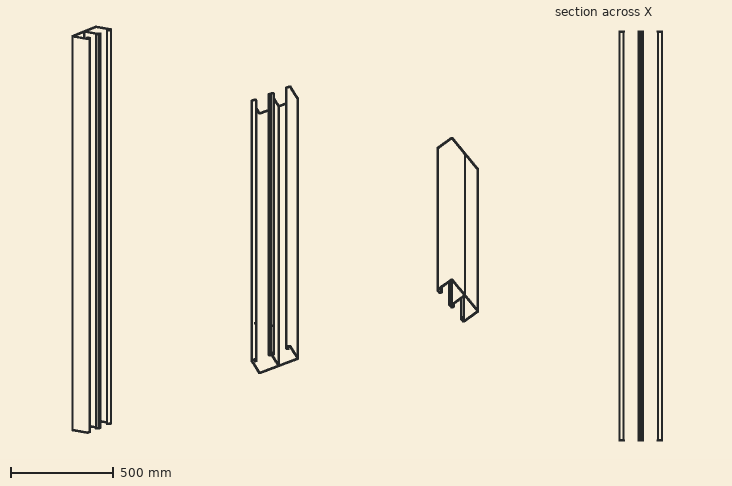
import cadquery as cq

length = 2000.0
width = 210.0
depth = 90.0

wall = 1.0
bend_radius = 3.0
root_fillet = 1.0

return_depth = 13.0
rim_lip_width = 22.0
rim_tip_width = 8.0
head_width = 25.0
head_tip_width = 5.0

back_x = -depth / 2
front_x = depth / 2
return_x = front_x - return_depth
base_z = -length / 2


def bent_strip(outer_path):
    """Full-length sheet whose outer side follows a clockwise path of right-angle bends."""
    corners = [cq.Vector(x, y) for x, y in outer_path]
    headings = [(end - start).normalized() for start, end in zip(corners, corners[1:])]
    insets = [cq.Vector(heading.y, -heading.x) * wall for heading in headings]

    outer_arcs = []
    inner_arcs = []
    for index, corner in enumerate(corners[1:-1]):
        arc_start = corner - headings[index] * bend_radius
        arc_end = corner + headings[index + 1] * bend_radius
        outer_arcs.append((arc_start, arc_end))
        inner_arcs.append((arc_start + insets[index], arc_end + insets[index + 1]))

    outline = cq.Workplane("XY", origin=(0, 0, base_z)).moveTo(corners[0].x, corners[0].y)
    for arc_start, arc_end in outer_arcs:
        outline = outline.lineTo(arc_start.x, arc_start.y)
        outline = outline.tangentArcPoint((arc_end.x, arc_end.y), relative=False)
    outline = outline.lineTo(corners[-1].x, corners[-1].y)

    inner_end = corners[-1] + insets[-1]
    outline = outline.lineTo(inner_end.x, inner_end.y)
    for arc_start, arc_end in reversed(inner_arcs):
        outline = outline.lineTo(arc_end.x, arc_end.y)
        outline = outline.tangentArcPoint((arc_start.x, arc_start.y), relative=False)
    inner_start = corners[0] + insets[0]
    outline = outline.lineTo(inner_start.x, inner_start.y)
    return outline.close().extrude(length)


def mirrored_in_y(half_path):
    """Continue a path that stops short of the XZ plane with its mirror image."""
    return half_path + [(x, -y) for x, y in reversed(half_path)]


def make_channel():
    """Wide channel open toward +X, its two flanges ending in hooked lips."""
    rim_y = width / 2
    lip_y = rim_y - rim_lip_width
    lower_half = [
        (return_x, -lip_y - rim_tip_width),
        (return_x, -lip_y),
        (front_x, -lip_y),
        (front_x, -rim_y),
        (back_x, -rim_y),
    ]
    return bent_strip(mirrored_in_y(lower_half))


def make_divider():
    """Plate standing on the middle of the channel's web, its head hooked to both sides."""
    head_y = head_width / 2
    upper_half = [
        (return_x, head_y - head_tip_width),
        (return_x, head_y),
        (front_x, head_y),
    ]
    head = bent_strip(mirrored_in_y(upper_half))

    plate_start = back_x + wall
    plate_end = front_x - wall
    plate = (
        cq.Workplane("XY", origin=((plate_start + plate_end) / 2, 0, 0))
        .box(plate_end - plate_start, wall, length)
    )
    root_zone = cq.selectors.BoxSelector(
        (plate_end - wall, -wall, base_z), (plate_end + wall / 2, wall, base_z + length)
    )
    return head.union(plate).edges("|Z").edges(root_zone).fillet(root_fillet)


channel = make_channel()
divider = make_divider()

result = cq.Compound.makeCompound([channel.val(), divider.val()])